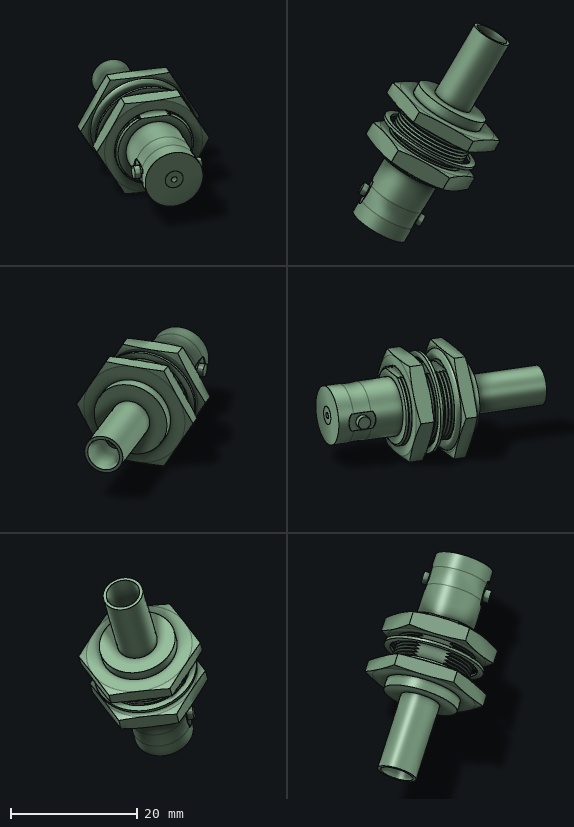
import cadquery as cq
import math


total_length = 36.32
collar_start = 12.7
flange_start = 14.47
flange_end = 16.8
seal_end = 17.45
thread_end = 25.33
washer_start = 19.83
washer_thickness = 0.48
nut_start = 21.6
nut_thickness = 2.83
bayonet_center = 32.24

ferrule_radius = 3.22
ferrule_bore_radius = 2.67

stem_start = 6.0
stem_radius = 2.36
stem_nose_radius = 1.91
stem_nose_length = 1.0

insulator_radius = 1.47
contact_hole_radius = 0.47

collar_radius = 6.1
flange_across_flats = 16.99
flange_chamfer = 0.2
barrel_radius = 4.77

thread_crest_radius = 6.4
thread_root_radius = 6.08
thread_pitch = 0.563
thread_count = 15
thread_start = thread_end - thread_count * thread_pitch
thread_flat_height = 5.66

groove_width = 2.95
groove_depth = 0.11
lug_seat_radius = 2.3
lug_seat_height = 4.55
lug_pad_half_height = math.sqrt(barrel_radius**2 - lug_seat_height**2)
lug_radius = 1.05
lug_tip_height = 5.56

seal_outer_radius = 8.2
seal_section_radius = 0.89
washer_radius = 8.25
washer_bore_radius = 7.2
nut_across_flats = 16.12
nut_chamfer = 0.3


def rod(start, length, radius):
    """Solid cylinder along +X."""
    return cq.Workplane("YZ").workplane(offset=start).circle(radius).extrude(length)


def chamfered_hexagon(start, thickness, across_flats, chamfer):
    """Hexagonal prism with flats facing +Z and -Z, its corners turned off on both faces."""
    inner = across_flats / 2
    corner = inner / math.cos(math.pi / 6)
    end = start + thickness
    prism = cq.Workplane("YZ").workplane(offset=start).polygon(6, 2 * corner).extrude(thickness)
    turned_envelope = (
        cq.Workplane("XY")
        .moveTo(start, 0)
        .lineTo(start, inner)
        .lineTo(start + chamfer, corner)
        .lineTo(end - chamfer, corner)
        .lineTo(end, inner)
        .lineTo(end, 0)
        .close()
        .revolve(360, (0, 0, 0), (1, 0, 0))
    )
    return prism.intersect(turned_envelope)


def make_stem():
    nose_end = stem_start + stem_nose_length
    return (
        cq.Workplane("XY")
        .moveTo(stem_start, 0)
        .lineTo(stem_start, stem_nose_radius)
        .lineTo(nose_end, stem_radius)
        .lineTo(collar_start, stem_radius)
        .lineTo(collar_start, 0)
        .close()
        .revolve(360, (0, 0, 0), (1, 0, 0))
    )


def make_thread():
    """Plain neck at the flange, then the thread rings, with one flat along the whole length."""
    outline = (
        cq.Workplane("XY")
        .moveTo(flange_end, 0)
        .lineTo(flange_end, thread_root_radius)
        .lineTo(thread_start, thread_root_radius)
    )
    for ring in range(thread_count):
        ring_start = thread_start + ring * thread_pitch
        outline = outline.lineTo(ring_start + thread_pitch / 2, thread_crest_radius)
        outline = outline.lineTo(ring_start + thread_pitch, thread_root_radius)
    thread = outline.lineTo(thread_end, 0).close().revolve(360, (0, 0, 0), (1, 0, 0))

    below_flat = cq.Workplane("XY").box(
        thread_end - flange_end,
        2 * thread_crest_radius,
        thread_crest_radius + thread_flat_height,
        centered=(False, True, False),
    )
    return thread.intersect(below_flat.translate((flange_end, 0, -thread_crest_radius)))


def make_barrel():
    """Barrel with a shallow arc groove, two flat lug seats and the bayonet lugs."""
    barrel = (
        cq.Workplane("XY")
        .moveTo(thread_end, 0)
        .lineTo(thread_end, barrel_radius)
        .lineTo(bayonet_center - groove_width / 2, barrel_radius)
        .threePointArc(
            (bayonet_center, barrel_radius - groove_depth),
            (bayonet_center + groove_width / 2, barrel_radius),
        )
        .lineTo(total_length, barrel_radius)
        .lineTo(total_length, 0)
        .close()
        .revolve(360, (0, 0, 0), (1, 0, 0))
    )
    for side in (-1, 1):
        across = cq.Vector(0, side, 0)
        seat_cutter = cq.Solid.makeCylinder(
            lug_seat_radius,
            barrel_radius - lug_seat_height,
            cq.Vector(bayonet_center, side * lug_seat_height, 0),
            across,
        )
        barrel = barrel.cut(cq.Workplane(seat_cutter))
        pad = cq.Workplane("XY").box(groove_width, lug_seat_height, 2 * lug_pad_half_height)
        pad = pad.translate((bayonet_center, side * lug_seat_height / 2, 0))
        lug = cq.Solid.makeCylinder(lug_radius, lug_tip_height, cq.Vector(bayonet_center, 0, 0), across)
        barrel = barrel.union(pad).union(cq.Workplane(lug))
    return barrel


def make_seal():
    """Round-section sealing ring, partly sunk into the flange face."""
    ring = cq.Solid.makeTorus(
        seal_outer_radius - seal_section_radius,
        seal_section_radius,
        cq.Vector(seal_end - seal_section_radius, 0, 0),
        cq.Vector(1, 0, 0),
    )
    return cq.Workplane(ring)


def make_housing():
    flange = chamfered_hexagon(flange_start, flange_end - flange_start, flange_across_flats, flange_chamfer)
    return (
        make_stem()
        .union(rod(collar_start, flange_start - collar_start, collar_radius))
        .union(flange)
        .union(make_thread())
        .union(make_barrel())
        .cut(rod(stem_start, total_length - stem_start, insulator_radius))
        .cut(make_seal())
    )


def make_ferrule():
    return rod(0, collar_start, ferrule_radius).cut(rod(0, collar_start, ferrule_bore_radius))


def make_insulator():
    length = total_length - stem_start
    return rod(stem_start, length, insulator_radius).cut(rod(stem_start, length, contact_hole_radius))


def make_washer():
    disc = rod(washer_start, washer_thickness, washer_radius)
    return disc.cut(rod(washer_start, washer_thickness, washer_bore_radius))


def make_nut():
    hexagon = chamfered_hexagon(nut_start, nut_thickness, nut_across_flats, nut_chamfer)
    return hexagon.cut(rod(nut_start, nut_thickness, thread_crest_radius))


housing = make_housing()
ferrule = make_ferrule()
insulator = make_insulator()
seal = make_seal()
washer = make_washer()
nut = make_nut()

result = cq.Compound.makeCompound(
    [housing.val(), ferrule.val(), insulator.val(), seal.val(), washer.val(), nut.val()]
)